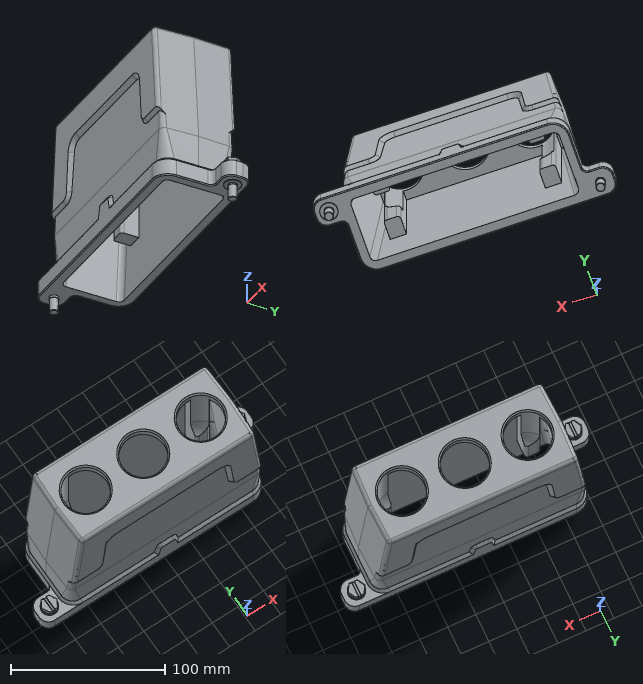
import cadquery as cq
import math

FLANGE_TOP = 12.0
SKIRT_BASE = 14.2
SHOULDER = 37.0
FRAME_BASE = 42.2
HOOD_TOP = 119.5

FLANGE_HALF_X = 78.0
HALF_Y = 29.0
FLANGE_CORNER = 11.5
FLANGE_CHAMFER = 0.8
LUG_END_X = 96.0
LUG_WIDTH = 19.2
LUG_CORNER = 7.3
LUG_FILLET = 3.8

SHOULDER_HALF_X = 76.0
TOP_HALF_X = 69.1
BODY_HALF_Y = 26.7
BODY_TOP_HALF_Y = 25.5
BODY_TOP = 115.2
END_RIDGE = 1.2
BASE_CORNER = 8.8
SHOULDER_CORNER = 3.8
BODY_TOP_CORNER = 0.5
HOOD_CORNER = 2.9
TOP_FILLET = 2.7

RECESS_TOP = 97.2
RECESS_STEP = 54.0
RECESS_TOP_HALF_X = 48.2
RECESS_STEP_HALF_X = 51.6
RECESS_TOP_RADIUS = 10.2
RECESS_STEP_RADIUS = 4.8
RECESS_DEPTH = 6.7
BEVEL_ANGLE = 45

TAB_TOP = 24.2
TAB_TOP_HALF_X = 7.5
TAB_BASE_HALF_X = 10.0
TAB_RADIUS = 3.8
TAB_ROOT = 4.8
TAB_EMBED = 0.2

ROOF = 6.7
CAVITY_BASE_HALF_X = 71.5
CAVITY_TOP_HALF_X = 62.2
CAVITY_CORNER = 3.8
CAVITY_HALF_Y = 22.3
HOLE_DIAMETER = 32.0
HOLE_PITCH = 45.0
HOLE_POSITIONS = (-HOLE_PITCH, 0, HOLE_PITCH)
HOLE_CHAMFER = 1.2
BORE_END = 73.0
POST_INNER_X = 47.6
POST_WIDTH = 11.1
POST_INNER_Y = 9.0
POST_RADIUS = 2.3

SCREW_X = 86.4
SCREW_Y = HALF_Y - LUG_WIDTH / 2
PIN_DIAMETER = 6.0
PIN_TIP_DIAMETER = 5.4
PIN_LENGTH = 11.5
NECK_DIAMETER = 6.5
NECK_LENGTH = 1.7
HEAD_DIAMETER = 12.0
COLLAR_HEIGHT = 1.7
HEAD_HEIGHT = 5.5
SLOT_WIDTH = 1.7
SLOT_DEPTH = 1.5
WASHER_HEIGHT = 0.8


def section(z, half_x, half_y, radius, ridge=0.0):
    """Rounded rectangle at height z whose end sides bulge out to half_x at y = 0."""
    corner_x = half_x - ridge * half_y / HALF_Y
    outline = [
        (corner_x, -half_y), (half_x, 0), (corner_x, half_y),
        (-corner_x, half_y), (-half_x, 0), (-corner_x, -half_y),
        (corner_x, -half_y),
    ]
    sketch = cq.Sketch().polygon(outline).vertices("<Y or >Y").fillet(radius)
    return sketch.moved(cq.Location(cq.Vector(0, 0, z)))


def loft(lower, upper):
    return cq.Workplane("XY").placeSketch(lower, upper).loft()


def half_x_at(z):
    """Half-length of the tapered hood at height z."""
    share = (z - SHOULDER) / (HOOD_TOP - SHOULDER)
    return SHOULDER_HALF_X + share * (TOP_HALF_X - SHOULDER_HALF_X)


def both_sides(solid):
    """The solid together with its copy half a turn about Z."""
    return solid.union(solid.rotate((0, 0, 0), (0, 0, 1), 180))


def make_flange():
    """Plate with a screw lug at two opposite corners."""
    plate = cq.Workplane("XY").rect(2 * FLANGE_HALF_X, 2 * HALF_Y).extrude(FLANGE_TOP)
    lug = (
        cq.Workplane("XY")
        .rect(LUG_END_X, LUG_WIDTH, centered=False)
        .extrude(FLANGE_TOP)
        .translate((-LUG_END_X, -HALF_Y, 0))
    )
    flange = plate.union(both_sides(lug)).clean()
    lug_inner_y = HALF_Y - LUG_WIDTH

    def upright_edge_at(x, y):
        return cq.selectors.NearestToPointSelector((x, y, FLANGE_TOP / 2))

    for side in (-1, 1):
        for x, y, radius in (
            (LUG_END_X, HALF_Y, LUG_CORNER),
            (LUG_END_X, lug_inner_y, LUG_CORNER),
            (FLANGE_HALF_X, lug_inner_y, LUG_FILLET),
            (FLANGE_HALF_X, -HALF_Y, FLANGE_CORNER),
        ):
            flange = flange.edges(upright_edge_at(side * x, side * y)).fillet(radius)
    return flange.faces("<Z").edges().chamfer(FLANGE_CHAMFER)


def make_body():
    """Solid body inside the raised layer, from the flange up."""
    shoulder = section(SHOULDER, SHOULDER_HALF_X, BODY_HALF_Y, SHOULDER_CORNER, END_RIDGE)
    skirt = section(SKIRT_BASE, SHOULDER_HALF_X, BODY_HALF_Y, BASE_CORNER)
    band = loft(section(FLANGE_TOP, FLANGE_HALF_X, HALF_Y, FLANGE_CORNER), skirt)
    lower = loft(skirt, shoulder)
    top_half_x = half_x_at(BODY_TOP)
    top = section(BODY_TOP, top_half_x, BODY_TOP_HALF_Y, BODY_TOP_CORNER, END_RIDGE)
    upper = loft(shoulder, top)
    return band.union(lower).union(upper)


def sideways_prism(outline, rounded, start_y, depth):
    """Extrude an X-Z outline from start_y along Y by depth, bevelled so it shrinks.

    The outline lists its right half only and is mirrored. Each entry of rounded is a
    corner of that half and its radius.
    """
    mirrored = [(-x, z) for x, z in reversed(outline)]
    sketch = cq.Sketch().polygon(outline + mirrored + outline[:1])
    for (x, z), radius in rounded:
        for corner_x in (x, -x):
            corner = cq.selectors.NearestToPointSelector((corner_x, z, 0))
            sketch = sketch.reset().vertices(corner).fillet(radius)
    direction = math.copysign(1, depth)
    plane = cq.Plane((0, start_y, 0), (-direction, 0, 0), (0, direction, 0))
    return cq.Workplane(plane).placeSketch(sketch.reset()).extrude(abs(depth), taper=BEVEL_ANGLE)


def make_recess_cutter():
    """Recess in the -Y side, shrinking inwards and open below the step."""
    top = (RECESS_TOP_HALF_X, RECESS_TOP)
    step = (RECESS_STEP_HALF_X, RECESS_STEP)
    below = [(LUG_END_X, RECESS_STEP), (LUG_END_X, SHOULDER - RECESS_DEPTH)]
    rounded = [(top, RECESS_TOP_RADIUS), (step, RECESS_STEP_RADIUS)]
    return sideways_prism([top, step] + below, rounded, -HALF_Y, RECESS_DEPTH)


def make_tab():
    """Tab on the -Y side, flush with the flange and bevelled back to the body."""
    top = (TAB_TOP_HALF_X, TAB_TOP)
    base = [(TAB_BASE_HALF_X, FLANGE_TOP), (TAB_BASE_HALF_X, TAB_ROOT)]
    inner_y = -BODY_HALF_Y + TAB_EMBED
    return sideways_prism([top] + base, [(top, TAB_RADIUS)], inner_y, -HALF_Y - inner_y)


def make_frame():
    """Raised outer layer of the hood, open where the two long sides are recessed."""
    frame = loft(
        section(FRAME_BASE, half_x_at(FRAME_BASE), HALF_Y, HOOD_CORNER, END_RIDGE),
        section(HOOD_TOP, half_x_at(HOOD_TOP), HALF_Y, HOOD_CORNER, END_RIDGE),
    )
    return frame.faces(">Z").edges().fillet(TOP_FILLET)


def make_cavity():
    """Space open at the underside, with a post on the side wall near each corner."""
    ceiling = HOOD_TOP - ROOF
    cavity = loft(
        section(0, CAVITY_BASE_HALF_X, CAVITY_HALF_Y, CAVITY_CORNER),
        section(ceiling, CAVITY_TOP_HALF_X, CAVITY_HALF_Y, CAVITY_CORNER),
    )
    post_depth = HALF_Y - POST_INNER_Y
    for x_side in (-1, 1):
        for y_side in (-1, 1):
            post = (
                cq.Workplane("XY", origin=(0, 0, SHOULDER))
                .center(
                    x_side * (POST_INNER_X + POST_WIDTH / 2),
                    y_side * (POST_INNER_Y + post_depth / 2),
                )
                .rect(POST_WIDTH, post_depth)
                .extrude(ceiling - SHOULDER)
                .edges("|Z").fillet(POST_RADIUS)
            )
            cavity = cavity.cut(post)
    return cavity


def make_cable_hole(x):
    """Chamfered hole through the roof, running down as a bore with a spherical end."""
    radius = HOLE_DIAMETER / 2
    profile = (
        cq.Workplane("XZ")
        .moveTo(0, BORE_END - radius)
        .radiusArc((radius, BORE_END), -radius)
        .lineTo(radius, HOOD_TOP - HOLE_CHAMFER)
        .lineTo(radius + HOLE_CHAMFER, HOOD_TOP)
        .lineTo(0, HOOD_TOP)
        .close()
    )
    return profile.revolve(360, (0, 0, 0), (0, 1, 0)).translate((x, 0, 0))


def make_screw():
    """Slotted hexagon-head screw standing on the flange at the origin."""
    pin = (
        cq.Workplane("XY", origin=(0, 0, -PIN_LENGTH))
        .circle(PIN_DIAMETER / 2)
        .extrude(PIN_LENGTH + FLANGE_TOP)
        .faces("<Z").chamfer((PIN_DIAMETER - PIN_TIP_DIAMETER) / 2)
    )
    neck = (
        cq.Workplane("XY", origin=(0, 0, -NECK_LENGTH))
        .circle(NECK_DIAMETER / 2)
        .extrude(NECK_LENGTH + FLANGE_TOP)
    )
    head = (
        cq.Workplane("XY", origin=(0, 0, FLANGE_TOP))
        .circle(HEAD_DIAMETER / 2)
        .extrude(COLLAR_HEIGHT)
        .faces(">Z").workplane()
        .polygon(6, HEAD_DIAMETER)
        .extrude(HEAD_HEIGHT - COLLAR_HEIGHT)
    )
    slot = (
        cq.Workplane("XY", origin=(0, 0, FLANGE_TOP + HEAD_HEIGHT - SLOT_DEPTH))
        .rect(SLOT_WIDTH, 2 * HEAD_DIAMETER)
        .extrude(2 * SLOT_DEPTH)
    )
    return pin.union(neck).union(head.cut(slot))


recess = make_recess_cutter()
tabs = both_sides(make_tab())
frame = make_frame()
for turn in (0, 180):
    frame = frame.cut(recess.rotate((0, 0, 0), (0, 0, 1), turn))

shell = make_flange().union(make_body()).union(frame).union(tabs)
shell = shell.cut(make_cavity())
for hole_x in HOLE_POSITIONS:
    shell = shell.cut(make_cable_hole(hole_x))

screws = both_sides(make_screw().translate((-SCREW_X, -SCREW_Y, 0)))

washer = (
    cq.Workplane("XY", origin=(SCREW_X, SCREW_Y, -WASHER_HEIGHT))
    .circle(HEAD_DIAMETER / 2)
    .extrude(WASHER_HEIGHT)
)

result = shell.union(screws).union(washer).clean()